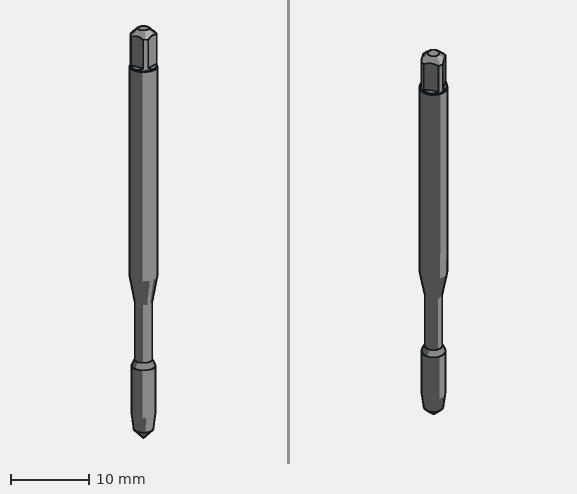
import cadquery as cq
import math

total_length = 56.95
point_height = 1.3
lead_top = 3.4
thread_top = 10.1
cutter_top = 10.95
neck_top = 18.95
taper_top = 22.55
shank_top = 51.6
shoulder_top = 51.75
flat_bottom = 52.05
crown_height = 0.9

point_diameter = 2.55
thread_diameter = 3.1
neck_diameter = 2.3
shank_diameter = 3.6
square_corner_diameter = 3.4
crown_flat_diameter = 1.5

square_across_flats = 2.85
runout_angle = 45.0


def revolve_profile(points):
    """Turn (radius, height) points about Z into a solid."""
    return cq.Workplane("XZ").polyline(points).close().revolve(360, (0, 0, 0), (0, 1, 0))


def make_cutter():
    """Threaded cutting end, with its cone point, tapered lead and back chamfer."""
    return revolve_profile([
        (0, 0),
        (point_diameter / 2, point_height),
        (thread_diameter / 2, lead_top),
        (thread_diameter / 2, thread_top),
        (neck_diameter / 2, cutter_top),
        (0, cutter_top),
    ])


def make_drive_square():
    """Rounded-corner square with a conical crown, its flats running out at the foot."""
    corner_radius = square_corner_diameter / 2
    round_blank = revolve_profile([
        (0, shoulder_top),
        (corner_radius, shoulder_top),
        (corner_radius, total_length - crown_height),
        (crown_flat_diameter / 2, total_length),
        (0, total_length),
    ])
    square_bar = (
        cq.Workplane("XY", origin=(0, 0, flat_bottom))
        .rect(square_across_flats, square_across_flats)
        .extrude(total_length - flat_bottom)
    )
    runout_height = flat_bottom - shoulder_top
    foot_width = square_across_flats + 2 * runout_height * math.tan(math.radians(runout_angle))
    runout = (
        cq.Workplane("XY", origin=(0, 0, shoulder_top))
        .rect(foot_width, foot_width)
        .extrude(runout_height, taper=runout_angle)
    )
    return round_blank.intersect(square_bar.union(runout))


def make_shank():
    """Neck, taper and cylindrical shank with the driving square on top."""
    turned = revolve_profile([
        (0, cutter_top),
        (neck_diameter / 2, cutter_top),
        (neck_diameter / 2, neck_top),
        (shank_diameter / 2, taper_top),
        (shank_diameter / 2, shank_top),
        (square_corner_diameter / 2, shoulder_top),
        (0, shoulder_top),
    ])
    return turned.union(make_drive_square())


cutter = make_cutter()
shank = make_shank()

result = cq.Compound.makeCompound([cutter.val(), shank.val()])